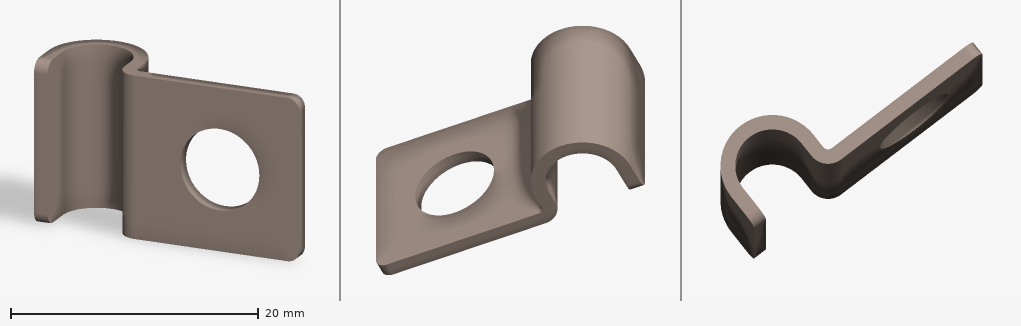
import cadquery as cq

THICKNESS = 1.2
WIDTH = 14.0
LOOP_INNER_RADIUS = 3.0
LEG_DROP = 3.0
BEND_INNER_RADIUS = 0.5
LENGTH = 23.4
HOLE_DIAMETER = 7.0
HOLE_TO_END = 7.0
CORNER_RADIUS = 1.0

loop_outer_radius = LOOP_INNER_RADIUS + THICKNESS
bend_outer_radius = BEND_INNER_RADIUS + THICKNESS
mount_y = -LEG_DROP
plate_back_y = mount_y + THICKNESS
plate_end_x = LENGTH - loop_outer_radius
bend_x = LOOP_INNER_RADIUS + bend_outer_radius
bend_y = mount_y + bend_outer_radius
hole_x = plate_end_x - HOLE_TO_END


def bent_strip():
    """Free leg, half-round loop, bend and flat plate as one extruded profile."""
    profile = (
        cq.Workplane("XY")
        .workplane(offset=-WIDTH / 2)
        .moveTo(-loop_outer_radius, mount_y)
        .lineTo(-loop_outer_radius, 0)
        .threePointArc((0, loop_outer_radius), (loop_outer_radius, 0))
        .lineTo(loop_outer_radius, bend_y)
        .radiusArc((bend_x, plate_back_y), -BEND_INNER_RADIUS)
        .lineTo(plate_end_x, plate_back_y)
        .lineTo(plate_end_x, mount_y)
        .lineTo(bend_x, mount_y)
        .radiusArc((LOOP_INNER_RADIUS, bend_y), bend_outer_radius)
        .lineTo(LOOP_INNER_RADIUS, 0)
        .threePointArc((0, LOOP_INNER_RADIUS), (-LOOP_INNER_RADIUS, 0))
        .lineTo(-LOOP_INNER_RADIUS, mount_y)
        .close()
    )
    return profile.extrude(WIDTH)


def round_end_corners(strip):
    """Round the two corners of the plate end and the two of the free leg."""
    plate_rounded = strip.faces(">X").edges("|Y").fillet(CORNER_RADIUS)
    free_leg_end = cq.selectors.BoxSelector(
        (-loop_outer_radius - THICKNESS, mount_y - THICKNESS, -WIDTH),
        (-LOOP_INNER_RADIUS, mount_y + THICKNESS, WIDTH),
    )
    return plate_rounded.edges("|X").edges(free_leg_end).fillet(CORNER_RADIUS)


def mounting_hole():
    """Cutter for the round hole through the plate."""
    return (
        cq.Workplane("XZ", origin=(hole_x, mount_y, 0))
        .circle(HOLE_DIAMETER / 2)
        .extrude(THICKNESS, both=True)
    )


result = round_end_corners(bent_strip()).cut(mounting_hole())